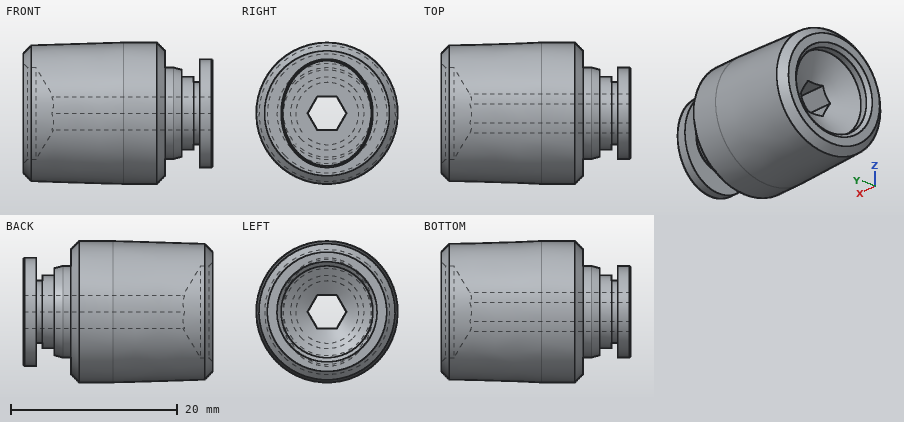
import cadquery as cq
import math

total_length = 22.75

body_radius = 17.0 / 2
body_length = 17.02
body_chamfer = 1.0
taper_end = 12.0
taper_angle = 1.75

collar_radius = 5.5
collar_straight = 1.0
collar_cone = 1.0
collar_cone_angle = 15.0

neck_radius = 4.4
neck_length = 1.4
groove_radius = 3.75

flange_half_width = 5.5
flange_half_height = 6.5
flange_thickness = 1.6
flange_chamfer = 0.2

socket_radius = 5.5
socket_chamfer = 0.5
socket_wall_depth = 1.5
drill_point_angle = 118.0
hex_across_flats = 4.0


def revolve_about_x(profile):
    """Revolve a list of (x, radius) points around the X axis."""
    return cq.Workplane("XZ").polyline(profile).close().revolve(360, (0, 0, 0), (1, 0, 0))


def make_turned_body():
    taper_length = taper_end - body_chamfer
    taper_drop = taper_length * math.tan(math.radians(taper_angle))
    front_radius = body_radius - taper_drop
    cone_start = body_length + collar_straight
    collar_end = cone_start + collar_cone
    collar_end_radius = collar_radius - collar_cone * math.tan(math.radians(collar_cone_angle))
    neck_end = collar_end + neck_length
    flange_start = total_length - flange_thickness
    return revolve_about_x([
        (0, 0),
        (0, front_radius - body_chamfer),
        (body_chamfer, front_radius),
        (taper_end, body_radius),
        (body_length - body_chamfer, body_radius),
        (body_length, body_radius - body_chamfer),
        (body_length, collar_radius),
        (cone_start, collar_radius),
        (collar_end, collar_end_radius),
        (collar_end, neck_radius),
        (neck_end, neck_radius),
        (neck_end, groove_radius),
        (flange_start, groove_radius),
        (flange_start, 0),
    ])


def make_flange():
    flange = (
        cq.Workplane("YZ", origin=(total_length - flange_thickness, 0, 0))
        .ellipse(flange_half_width, flange_half_height)
        .extrude(flange_thickness)
    )
    return flange.faces(">X").chamfer(flange_chamfer)


def make_socket():
    tip_length = socket_radius / math.tan(math.radians(drill_point_angle / 2))
    return revolve_about_x([
        (0, 0),
        (0, socket_radius + socket_chamfer),
        (socket_chamfer, socket_radius),
        (socket_wall_depth, socket_radius),
        (socket_wall_depth + tip_length, 0),
    ])


def make_hex_hole():
    across_corners = hex_across_flats / math.cos(math.pi / 6)
    return cq.Workplane("YZ").polygon(6, across_corners).extrude(total_length)


result = make_turned_body().union(make_flange()).cut(make_socket()).cut(make_hex_hole())